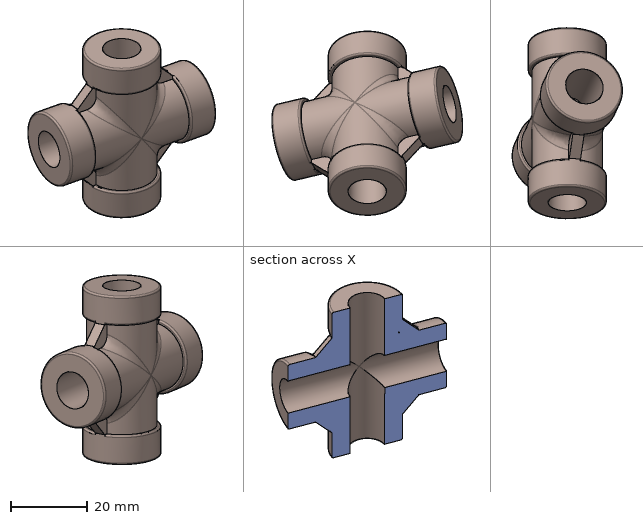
import cadquery as cq

run_length = 46.0
pipe_diameter = 18.5
bore_diameter = 10.0
crotch_radius = 3.0
collar_diameter = 20.5
collar_length = 8.0
collar_edge_radius = 0.5
rib_thickness = 3.0

run_end = run_length / 2
collar_start = run_end - collar_length
collar_radius = collar_diameter / 2
arm_angles = (0, 90, 180, 270)


def turned(shape, angle):
    """Turn a shape about the X axis, from one arm of the cross to another."""
    return shape.rotate((0, 0, 0), (1, 0, 0), angle)


def straight_run(diameter):
    """A round bar along Z, centred on the origin, as long as the part."""
    return cq.Workplane("XY").circle(diameter / 2).extrude(run_end, both=True)


def crossed_pipes():
    """Two equal pipes, blended along the curves where they meet."""
    pipe = straight_run(pipe_diameter)
    cross = pipe.union(turned(pipe, 90))
    return cross.edges("%ELLIPSE").fillet(crotch_radius)


def top_collar():
    """Collar of the +Z arm, with both rims rounded except where the ribs run into the inner rim."""
    base = cq.Workplane("XY").workplane(offset=collar_start)
    collar = base.circle(collar_radius).extrude(collar_length).edges().fillet(collar_edge_radius)
    unrounded_rim = base.circle(collar_radius).extrude(collar_edge_radius)
    rib_strip = base.rect(rib_thickness, collar_diameter).extrude(collar_edge_radius)
    return collar.union(unrounded_rim.intersect(rib_strip))


def rib():
    """Flat rib between the +Z and +Y arms, sloping from the rim of one collar to the rim of the other."""
    return (
        cq.Workplane("YZ")
        .moveTo(0, 0)
        .lineTo(collar_start, 0)
        .lineTo(collar_start, collar_radius)
        .lineTo(collar_radius, collar_start)
        .lineTo(0, collar_start)
        .close()
        .extrude(rib_thickness / 2, both=True)
    )


def body():
    """The solid cross before boring."""
    solid = crossed_pipes()
    for angle in arm_angles:
        solid = solid.union(turned(top_collar(), angle))
        solid = solid.union(turned(rib(), angle))
    return solid


bore = straight_run(bore_diameter)
result = body().cut(bore).cut(turned(bore, 90))